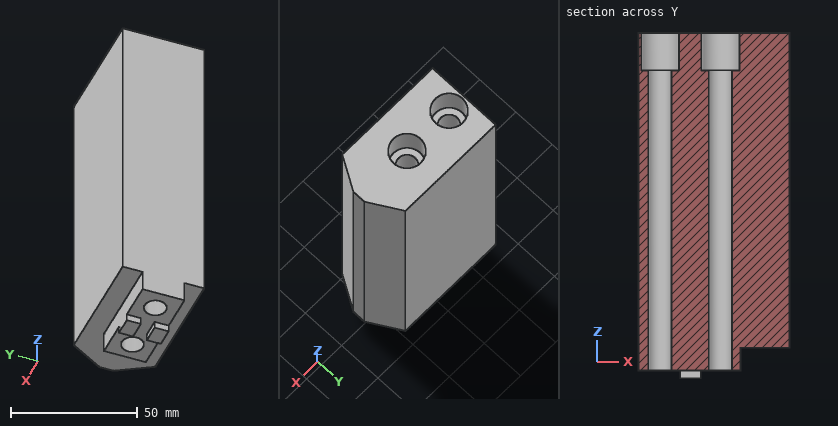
import cadquery as cq

total_height = 137.0
body_length = 60.0
body_width = 35.0
nose_start = 51.5
nose_flat_width = 6.0

rail_length = 40.5
rail_width = 18.0
rail_height = 9.0
pad_length = 8.2
pad_width = 6.0
pad_height = 3.0
pad_center_x = 20.7

hole_diameter = 9.0
counterbore_diameter = 15.0
counterbore_depth = 15.0
first_hole_x = 8.6
hole_spacing = 24.0

rail_bottom = pad_height
body_bottom = rail_bottom + rail_height
body_height = total_height - body_bottom


def make_body():
    half_width = body_width / 2
    half_flat = nose_flat_width / 2
    outline = [
        (0, -half_width),
        (nose_start, -half_width),
        (body_length, -half_flat),
        (body_length, half_flat),
        (nose_start, half_width),
        (0, half_width),
    ]
    return cq.Workplane("XY", origin=(0, 0, body_bottom)).polyline(outline).close().extrude(body_height)


def make_rail():
    return cq.Workplane("XY", origin=(0, 0, rail_bottom)).box(
        rail_length, rail_width, rail_height, centered=(False, True, False)
    )


def make_pads():
    pad_y = (rail_width - pad_width) / 2
    return (
        cq.Workplane("XY")
        .pushPoints([(pad_center_x, -pad_y), (pad_center_x, pad_y)])
        .rect(pad_length, pad_width)
        .extrude(pad_height)
    )


def cut_screw_holes(part):
    hole_positions = [(first_hole_x, 0), (first_hole_x + hole_spacing, 0)]
    return (
        part.faces(">Z")
        .workplane(origin=(0, 0, total_height))
        .pushPoints(hole_positions)
        .cboreHole(hole_diameter, counterbore_diameter, counterbore_depth)
    )


result = cut_screw_holes(make_body().union(make_rail()).union(make_pads()))